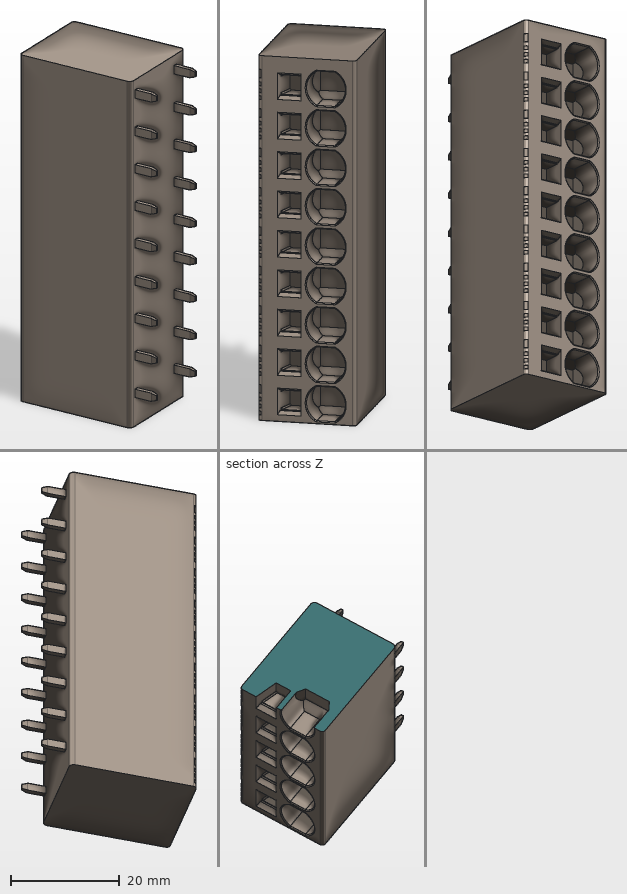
import cadquery as cq
import math

body_length = 24.25
body_width = 18.5
body_height = 69.3
front_edge_radius = 0.7
rear_edge_radius = 0.9

pole_count = 9
pole_pitch = 7.5
first_pole_drop = 5.6

socket_y = -3.5
socket_rim_diameter = 7.75
socket_rim_height = 6.9
socket_rim_chamfer = 0.2
socket_rim_angle = 45
socket_straight_depth = 4.85
socket_taper_depth = 1.7
socket_floor_width = 5.2
socket_floor_height = 4.1

window_y = 3.4
window_width = 4.45
window_height = 5.05
window_lean = 0.27
lead_in_depth = 1.05
lead_in_height = 0.55
land_depth = 0.35
land_step = 0.15
window_depth = 4.7
window_corner_cut = 0.3

pin_rows_y = (5.9, -7.5)
pin_length = 4.5
pin_height = 1.65
pin_thickness = 0.8
pin_rise = 2.8
pin_narrow_taper = 1.1
pin_broad_taper = 1.0
pin_tip_height = 1.0
pin_tip_thickness = 0.4
pin_root = 0.7

notch_leg = 0.55
notches = ((2.15, 1.6), (0.2, 0.7), (-1.1, 0.7), (-2.4, 0.7))


def make_housing():
    block = cq.Workplane("XY").box(
        body_length, body_width, body_height, centered=(False, True, False))
    block = block.edges("|Z and <X").fillet(front_edge_radius)
    return block.edges("|Z and >X").fillet(rear_edge_radius)


def rectangle_section(x, y_min, y_max, height, corner_cut=0):
    """Wire at depth x, centred on z = 0, with its two +Y corners optionally cut."""
    top = height / 2
    if corner_cut:
        outer_side = [
            (x, y_max - corner_cut, -top),
            (x, y_max, corner_cut - top),
            (x, y_max, top - corner_cut),
            (x, y_max - corner_cut, top),
        ]
    else:
        outer_side = [(x, y_max, -top), (x, y_max, top)]
    corners = [(x, y_min, top), (x, y_min, -top)] + outer_side
    return cq.Wire.makePolygon([cq.Vector(*corner) for corner in corners], close=True)


def ruled_solid(near, far):
    return cq.Workplane(cq.Solid.makeLoft([near, far], True))


def flatted_disc(diameter, height, depth, taper=0):
    """Disc along +X from x = 0, cut off flat above and below."""
    radius = diameter / 2
    top = height / 2
    half_flat = math.sqrt(radius**2 - top**2)
    return (
        cq.Workplane("YZ")
        .moveTo(-half_flat, -top)
        .lineTo(half_flat, -top)
        .threePointArc((radius, 0), (half_flat, top))
        .lineTo(-half_flat, top)
        .threePointArc((-radius, 0), (-half_flat, -top))
        .close().extrude(depth, taper=taper)
    )


def make_socket():
    bore_diameter = socket_rim_diameter - 2 * socket_rim_chamfer
    bore_height = socket_rim_height - 2 * socket_rim_chamfer
    full_depth = socket_straight_depth + socket_taper_depth
    rim = flatted_disc(
        socket_rim_diameter, socket_rim_height, socket_rim_chamfer, taper=socket_rim_angle)
    straight = flatted_disc(bore_diameter, bore_height, socket_straight_depth)
    funnel = ruled_solid(
        rectangle_section(socket_straight_depth, -bore_diameter / 2, bore_diameter / 2, bore_height),
        rectangle_section(full_depth, -socket_floor_width / 2, socket_floor_width / 2,
                          socket_floor_height),
    )
    funnel = funnel.intersect(flatted_disc(bore_diameter, bore_height, full_depth))
    return straight.union(rim).union(funnel).translate((0, socket_y, 0))


def make_window():
    def section(x, height, corner_cut=0):
        leaning_side = window_width / 2 - window_lean * x
        return rectangle_section(x, -window_width / 2, leaning_side, height, corner_cut)

    land_height = window_height - 2 * lead_in_height
    deep_height = land_height - 2 * land_step
    land_end = lead_in_depth + land_depth
    lead_in = ruled_solid(section(0, window_height), section(lead_in_depth, land_height))
    land = ruled_solid(section(lead_in_depth, land_height), section(land_end, land_height))
    deep = ruled_solid(
        section(land_end, deep_height, window_corner_cut),
        section(window_depth, deep_height, window_corner_cut),
    )
    return lead_in.union(land).union(deep).translate((0, window_y, 0))


def make_pin():
    full_length = pin_root + pin_length

    def tapered_outline(plane, width, tip_width, taper_length):
        shoulder = full_length - taper_length
        return cq.Workplane(plane).polyline([
            (0, -width / 2),
            (shoulder, -width / 2),
            (full_length, -tip_width / 2),
            (full_length, tip_width / 2),
            (shoulder, width / 2),
            (0, width / 2),
        ]).close()

    broad = tapered_outline("XZ", pin_height, pin_tip_height, pin_narrow_taper)
    narrow = tapered_outline("XY", pin_thickness, pin_tip_thickness, pin_broad_taper)
    pin = broad.extrude(pin_thickness / 2, both=True).intersect(
        narrow.extrude(pin_height / 2, both=True))
    return pin.translate((body_length - pin_root, 0, 0))


def make_notch(width):
    side_y = body_width / 2
    return (
        cq.Workplane("XY")
        .polyline([(0, side_y), (notch_leg, side_y), (0, side_y - notch_leg)])
        .close().extrude(width / 2, both=True)
    )


def compound(parts):
    return cq.Workplane(cq.Compound.makeCompound([part.val() for part in parts]))


socket = make_socket()
window = make_window()
pin = make_pin()

cavities = []
pins = []
for pole in range(pole_count):
    pole_z = body_height - first_pole_drop - pole * pole_pitch
    cavities.append(socket.translate((0, 0, pole_z)))
    cavities.append(window.translate((0, 0, pole_z)))
    for notch_rise, notch_width in notches:
        cavities.append(make_notch(notch_width).translate((0, 0, pole_z + notch_rise)))
    for row_y in pin_rows_y:
        pins.append(pin.translate((0, row_y, pole_z + pin_rise)))

result = make_housing().cut(compound(cavities)).union(compound(pins)).solids()